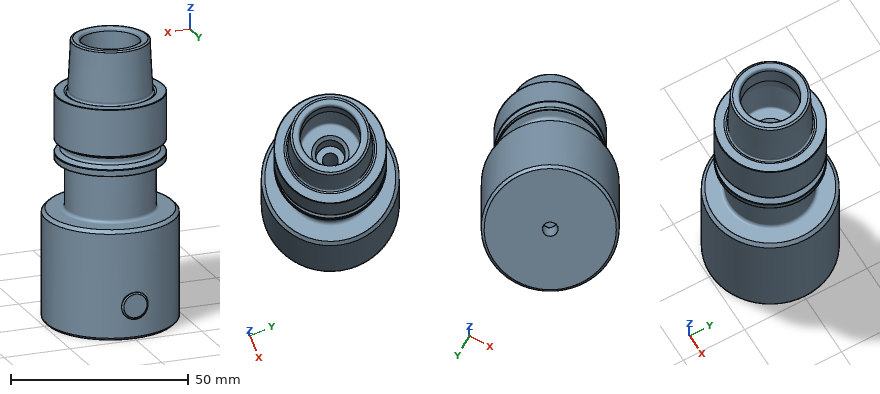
import cadquery as cq
import math

TOTAL_HEIGHT = 83.9
HEAD_HEIGHT = 33.05
COLLAR_BOTTOM = 48.0
LOWER_RIM_TOP = 50.0
UPPER_RIM_BOTTOM = 53.95
FLANGE_FACE = 68.1
TAPER_BOTTOM = 68.9

HEAD_RADIUS = 19.51
NECK_RADIUS = 13.0
FLANGE_RADIUS = 15.9
GRIP_GROOVE_RADIUS = 13.3
GRIP_FLANK_RADIUS = 14.3
FACE_RECESS_RADIUS = 13.1
FACE_RECESS_DEPTH = 0.25
FACE_RECESS_FLARE = 0.6
TAPER_FOOT_RADIUS = 11.9
TAPER_BOTTOM_RADIUS = 12.1
TAPER_TOP_RADIUS = 11.3

HEAD_CHAMFER = 1.0
BASE_CHAMFER = 0.8
NECK_FILLET = 1.0
FLANGE_CHAMFER = 0.2
GRIP_GROOVE_ANGLE = 30.0
GRIP_GROOVE_FILLET = 0.6
TAPER_FOOT_FILLET = 0.4
TAPER_RIM_HEIGHT = 0.3
TAPER_RIM_WIDTH = 0.7

SOCKET_RADIUS = 8.55
SOCKET_MOUTH_RADIUS = 8.9
SOCKET_MOUTH_FILLET = 0.6
LEAD_IN_ANGLE = 20.0
UNDERCUT_TOP_DEPTH = 6.5
UNDERCUT_RADIUS = 10.3
UNDERCUT_CONE_DEPTH = 12.75
UNDERCUT_CONE_ANGLE = 10.0
SOCKET_FLOOR_RADIUS = 8.7
SOCKET_FLOOR_FILLET = 0.7
SEAT_RADIUS = 4.2
SEAT_CHAMFER = 1.1
SEAT_DEPTH = 8.4
BORE_RADIUS = 2.2

SCREW_RADIUS = 4.0
SCREW_HEIGHT = 10.1
SCREW_CHAMFER = 0.5

RING_TOLERANCE = 0.01


def revolve_profile(points):
    """Solid of revolution about Z from a closed outline of (radius, height) points."""
    return cq.Workplane("XZ").polyline(points).close().revolve(360, (0, 0), (0, 1))


def ring_edges(solid, *places):
    """Circular edges of a solid that lie at the given (radius, height) places."""
    def matches(edge):
        if edge.geomType() != "CIRCLE":
            return False
        ring = (edge.radius(), edge.Center().z)
        return any(math.dist(ring, place) < RING_TOLERANCE for place in places)

    return solid.newObject([edge for edge in solid.edges().vals() if matches(edge)])


def make_outside():
    flank_rise = (FLANGE_RADIUS - GRIP_FLANK_RADIUS) * math.tan(math.radians(GRIP_GROOVE_ANGLE))
    lower_ledge = LOWER_RIM_TOP + flank_rise
    upper_ledge = UPPER_RIM_BOTTOM - flank_rise
    recess_floor = FLANGE_FACE - FACE_RECESS_DEPTH

    neck_bottom = (NECK_RADIUS, HEAD_HEIGHT)
    neck_top = (NECK_RADIUS, COLLAR_BOTTOM)
    head_top = (HEAD_RADIUS, HEAD_HEIGHT)
    head_bottom = (HEAD_RADIUS, 0)
    lower_rim_bottom = (FLANGE_RADIUS, COLLAR_BOTTOM)
    lower_rim_top = (FLANGE_RADIUS, LOWER_RIM_TOP)
    groove_bottom = (GRIP_GROOVE_RADIUS, lower_ledge)
    groove_top = (GRIP_GROOVE_RADIUS, upper_ledge)
    upper_rim_bottom = (FLANGE_RADIUS, UPPER_RIM_BOTTOM)
    upper_rim_top = (FLANGE_RADIUS, FLANGE_FACE)
    taper_foot = (TAPER_FOOT_RADIUS, recess_floor)

    body = revolve_profile([
        (0, 0),
        head_bottom,
        head_top,
        neck_bottom,
        neck_top,
        lower_rim_bottom,
        lower_rim_top,
        (GRIP_FLANK_RADIUS, lower_ledge),
        groove_bottom,
        groove_top,
        (GRIP_FLANK_RADIUS, upper_ledge),
        upper_rim_bottom,
        upper_rim_top,
        (FACE_RECESS_RADIUS, FLANGE_FACE),
        (FACE_RECESS_RADIUS - FACE_RECESS_FLARE, recess_floor),
        taper_foot,
        (TAPER_BOTTOM_RADIUS, TAPER_BOTTOM),
        (TAPER_TOP_RADIUS, TOTAL_HEIGHT - TAPER_RIM_HEIGHT),
        (TAPER_TOP_RADIUS - TAPER_RIM_WIDTH, TOTAL_HEIGHT),
        (0, TOTAL_HEIGHT),
    ])
    body = ring_edges(body, head_bottom).chamfer(BASE_CHAMFER)
    body = ring_edges(body, head_top).chamfer(HEAD_CHAMFER)
    body = ring_edges(body, neck_bottom, neck_top).fillet(NECK_FILLET)
    body = ring_edges(body, groove_bottom, groove_top).fillet(GRIP_GROOVE_FILLET)
    rims = (lower_rim_bottom, lower_rim_top, upper_rim_bottom, upper_rim_top)
    body = ring_edges(body, *rims).chamfer(FLANGE_CHAMFER)
    return ring_edges(body, taper_foot).fillet(TAPER_FOOT_FILLET)


def cut_socket(body):
    """Cut the socket in the taper, with its undercut, the seat in its floor and the through bore."""
    lead_in_depth = (SOCKET_MOUTH_RADIUS - SOCKET_RADIUS) / math.tan(math.radians(LEAD_IN_ANGLE))
    cone_drop = (UNDERCUT_RADIUS - SOCKET_FLOOR_RADIUS) / math.tan(math.radians(UNDERCUT_CONE_ANGLE))
    undercut_top = TOTAL_HEIGHT - UNDERCUT_TOP_DEPTH
    cone_top = TOTAL_HEIGHT - UNDERCUT_CONE_DEPTH
    socket_floor = cone_top - cone_drop
    seat_floor = socket_floor - SEAT_DEPTH

    mouth = (SOCKET_MOUTH_RADIUS, TOTAL_HEIGHT)
    floor_corner = (SOCKET_FLOOR_RADIUS, socket_floor)
    seat_mouth = (SEAT_RADIUS, socket_floor)

    cavity = revolve_profile([
        (0, 0),
        (BORE_RADIUS, 0),
        (BORE_RADIUS, seat_floor),
        (SEAT_RADIUS, seat_floor),
        seat_mouth,
        floor_corner,
        (UNDERCUT_RADIUS, cone_top),
        (UNDERCUT_RADIUS, undercut_top),
        (SOCKET_RADIUS, undercut_top),
        (SOCKET_RADIUS, TOTAL_HEIGHT - lead_in_depth),
        mouth,
        (0, TOTAL_HEIGHT),
    ])
    body = body.cut(cavity)
    body = ring_edges(body, mouth).fillet(SOCKET_MOUTH_FILLET)
    body = ring_edges(body, floor_corner).fillet(SOCKET_FLOOR_FILLET)
    return ring_edges(body, seat_mouth).chamfer(SEAT_CHAMFER)


def make_radial_cylinder(start, end):
    """Cylinder of the screw's size, running along +Y from start to end."""
    return (
        cq.Workplane("XZ", origin=(0, start, SCREW_HEIGHT))
        .circle(SCREW_RADIUS)
        .extrude(start - end)
    )


def make_holder():
    screw_hole = make_radial_cylinder(0, HEAD_RADIUS)
    return cut_socket(make_outside()).cut(screw_hole)


def make_clamping_screw():
    """Set screw reaching from the through bore out to the surface of the head."""
    return make_radial_cylinder(BORE_RADIUS, HEAD_RADIUS).faces(">Y").chamfer(SCREW_CHAMFER)


holder = make_holder()
clamping_screw = make_clamping_screw()

result = cq.Compound.makeCompound([holder.val(), clamping_screw.val()])